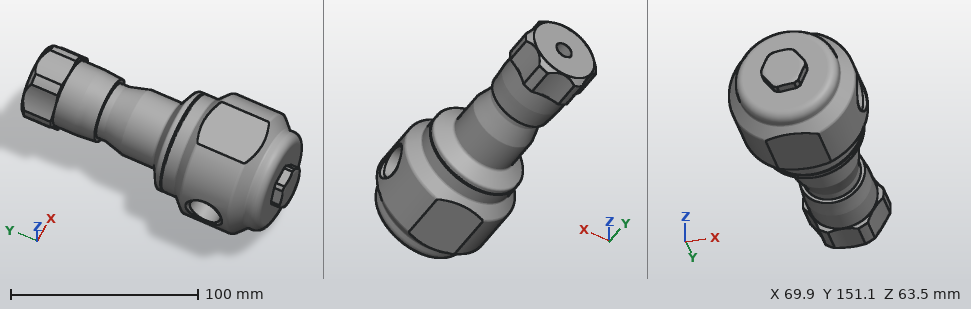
import cadquery as cq
import math


overall_length = 151.13
bolt_head_height = 5.7
cap_front_to_ports = 28.7
front_y = -(cap_front_to_ports + bolt_head_height)
rear_y = front_y + overall_length
cap_front_y = -cap_front_to_ports

body_radius = 69.85 / 2
body_half_length = 14.2
body_flat_width = 63.5
body_edge_fillet = 2.0
collar_radius = 28.45
body_cone_length = body_radius - collar_radius
body_end = body_half_length + body_cone_length
body_foot_fillet = 1.2
cap_edge_fillet = 5.0

groove_y = 28.9
groove_width = 0.7
groove_depth = 1.6
shoulder_front_y = 32.35
shoulder_slope = math.radians(30)
shoulder_fillet = 1.6

stem_radius = 19.05
shoulder_rear_y = shoulder_front_y + (collar_radius - stem_radius) * math.tan(shoulder_slope)
taper_front_y = 57.2
neck_front_y = 69.1
neck_rear_y = 73.8
neck_radius = 15.875
lip_radius = 18.1
taper_fillet = 1.6
barrel_front_y = 85.2

nut_length = 18.78
nut_front_y = rear_y - nut_length
nut_radius = 44.45 / 2
nut_corner_half_angle = math.radians(7.8)
nut_waist_radius = 19.4
nut_chamfer = 3.1

bolt_across_flats = 22.225
bolt_corner_radius = 12.1
bolt_face_radius = 9.4
bolt_crown_height = 0.7
bolt_turn = 7.0

port_diameter = 18.4
port_mouth_diameter = 21.8
drill_point_half_angle = math.radians(59)
bore_radius = 4.8
port_shoulder_x = 1.9
blind_port_shoulder_x = 15.0
bore_front_y = -12.0


def polar(radius, angle):
    return radius * math.cos(angle), radius * math.sin(angle)


def prism_along_y(section, y_start, length):
    """Turn a function of an XZ workplane into a prism running towards +Y."""
    plane = cq.Workplane("XZ", origin=(0, y_start, 0))
    return section(plane).extrude(-length)


def fillet_ring(solid, radius, y, size):
    """Fillet the circular edge of the given radius at station y."""
    reach = 0.01
    box = cq.selectors.BoxSelector(
        (-radius - reach, y - reach, -radius - reach),
        (radius + reach, y + reach, radius + reach),
        boundingbox=True,
    )
    return solid.edges(box).fillet(size)


def make_turned_body():
    profile = (
        cq.Workplane("XY")
        .moveTo(0, cap_front_y)
        .lineTo(collar_radius, cap_front_y)
        .lineTo(collar_radius, -body_end)
        .lineTo(body_radius, -body_half_length)
        .lineTo(body_radius, body_half_length)
        .lineTo(collar_radius, body_end)
        .lineTo(collar_radius, shoulder_front_y)
        .lineTo(stem_radius, shoulder_rear_y)
        .lineTo(stem_radius, taper_front_y)
        .lineTo(neck_radius, neck_front_y)
        .lineTo(neck_radius, neck_rear_y)
        .lineTo(lip_radius, neck_rear_y)
        .lineTo(stem_radius, barrel_front_y)
        .lineTo(stem_radius, nut_front_y)
        .lineTo(0, nut_front_y)
        .close()
    )
    body = profile.revolve(360, (0, 0, 0), (0, 1, 0))
    body = fillet_ring(body, collar_radius, cap_front_y, cap_edge_fillet)
    for side in (-1, 1):
        body = fillet_ring(body, collar_radius, side * body_end, body_foot_fillet)
        body = fillet_ring(body, body_radius, side * body_half_length, body_edge_fillet)
    body = fillet_ring(body, collar_radius, shoulder_front_y, shoulder_fillet)
    body = fillet_ring(body, stem_radius, shoulder_rear_y, shoulder_fillet)
    body = fillet_ring(body, stem_radius, taper_front_y, taper_fillet)
    return fillet_ring(body, neck_radius, neck_front_y, taper_fillet)


def cut_groove(body):
    def ring(plane):
        return plane.circle(body_radius).circle(collar_radius - groove_depth)

    return body.cut(prism_along_y(ring, groove_y - groove_width / 2, groove_width))


def cut_body_flats(body):
    slab = cq.Workplane("XY").box(2 * body_radius, 2 * overall_length, body_flat_width)
    return body.intersect(slab)


def nut_section(plane):
    """Six round corners joined by six concave arcs."""
    pitch = math.radians(60)
    outline = plane.moveTo(*polar(nut_radius, -nut_corner_half_angle))
    for k in range(6):
        corner = k * pitch
        outline = outline.threePointArc(
            polar(nut_radius, corner), polar(nut_radius, corner + nut_corner_half_angle)
        )
        outline = outline.threePointArc(
            polar(nut_waist_radius, corner + pitch / 2),
            polar(nut_radius, corner + pitch - nut_corner_half_angle),
        )
    return outline.close()


def make_nut():
    blank = prism_along_y(lambda plane: plane.circle(nut_radius), nut_front_y, nut_length)
    blank = blank.faces(">Y").chamfer(nut_chamfer)
    return blank.intersect(prism_along_y(nut_section, nut_front_y, nut_length))


def make_bolt_head():
    """Hexagon with rounded corners and a crowned front face."""
    reach = bolt_corner_radius - bolt_face_radius
    crown_radius = (reach**2 + bolt_crown_height**2) / (2 * bolt_crown_height)
    half_turn = math.asin(reach / crown_radius) / 2
    crown_middle = (
        bolt_face_radius + crown_radius * math.sin(half_turn),
        front_y + crown_radius * (1 - math.cos(half_turn)),
    )
    blank = (
        cq.Workplane("XY")
        .moveTo(0, front_y)
        .lineTo(bolt_face_radius, front_y)
        .threePointArc(crown_middle, (bolt_corner_radius, front_y + bolt_crown_height))
        .lineTo(bolt_corner_radius, cap_front_y)
        .lineTo(0, cap_front_y)
        .close()
        .revolve(360, (0, 0, 0), (0, 1, 0))
    )
    across_corners = bolt_across_flats / math.cos(math.radians(30))
    hexagon = prism_along_y(
        lambda plane: plane.polygon(6, across_corners), front_y, bolt_head_height
    )
    return blank.intersect(hexagon.rotate((0, 0, 0), (0, 1, 0), -bolt_turn))


def make_port_cutter(side, shoulder_x):
    """Drilled hole with a 118 degree point and a 45 degree mouth, entering from side * X."""
    radius = port_diameter / 2
    mouth_radius = port_mouth_diameter / 2
    point_x = shoulder_x - radius / math.tan(drill_point_half_angle)
    mouth_start_x = body_radius - (mouth_radius - radius)
    return (
        cq.Workplane("XY")
        .moveTo(side * point_x, 0)
        .lineTo(side * shoulder_x, radius)
        .lineTo(side * mouth_start_x, radius)
        .lineTo(side * body_radius, mouth_radius)
        .lineTo(side * body_radius, 0)
        .close()
        .revolve(360, (0, 0, 0), (1, 0, 0))
    )


def make_bore_cutter():
    return prism_along_y(
        lambda plane: plane.circle(bore_radius), bore_front_y, rear_y - bore_front_y
    )


result = cut_groove(cut_body_flats(make_turned_body()))
result = result.union(make_nut()).union(make_bolt_head())
result = result.cut(make_bore_cutter())
result = result.cut(make_port_cutter(-1, port_shoulder_x))
result = result.cut(make_port_cutter(1, blind_port_shoulder_x))